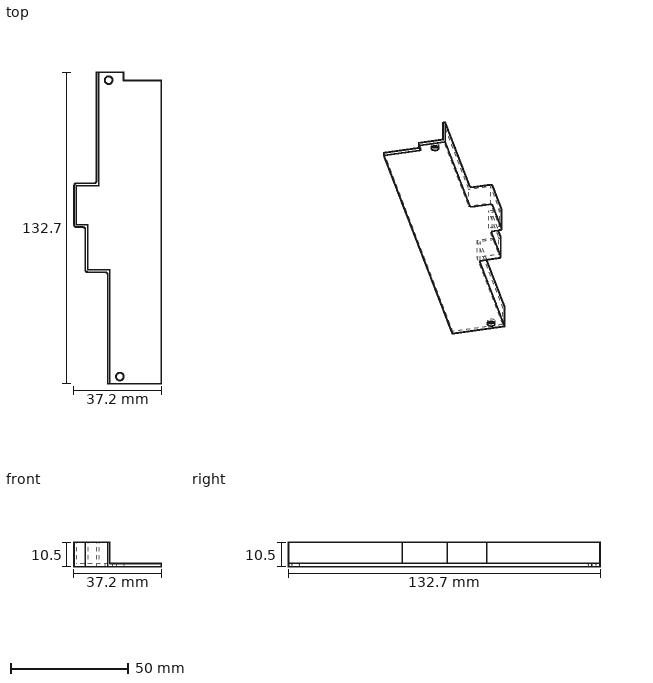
import cadquery as cq

LENGTH_X = 37.19
LENGTH_Y = 132.66
HEIGHT = 10.5

FLOOR_THICKNESS = 1.5
WALL_THICKNESS = 1.0
CORNER_RADIUS = 1.0

STEP_X = 4.77
TAB_X = 0.0
MIDDLE_X = TAB_X + STEP_X
REAR_X = TAB_X + 2 * STEP_X
FRONT_X = TAB_X + 3 * STEP_X
FRONT_STEP_Y = 47.5
MIDDLE_STEP_Y = 66.66
REAR_STEP_Y = 85.4

NOTCH_X = 21.1
NOTCH_DEPTH = 3.45

HOLE_DIAMETER = 3.2
HOLE_FROM_EDGE = 5.2
HOLE_FROM_FRONT_END = 3.1
HOLE_FROM_REAR_END = 3.4


def stepped_outline(inset):
    """Outline of the part with its stepped left edge moved inward by inset."""
    return (
        cq.Workplane("XY")
        .moveTo(FRONT_X + inset, 0)
        .lineTo(LENGTH_X, 0)
        .lineTo(LENGTH_X, LENGTH_Y - NOTCH_DEPTH)
        .lineTo(NOTCH_X, LENGTH_Y - NOTCH_DEPTH)
        .lineTo(NOTCH_X, LENGTH_Y)
        .lineTo(REAR_X + inset, LENGTH_Y)
        .lineTo(REAR_X + inset, REAR_STEP_Y - inset)
        .lineTo(TAB_X + inset, REAR_STEP_Y - inset)
        .lineTo(TAB_X + inset, MIDDLE_STEP_Y + inset)
        .lineTo(MIDDLE_X + inset, MIDDLE_STEP_Y + inset)
        .lineTo(MIDDLE_X + inset, FRONT_STEP_Y + inset)
        .lineTo(FRONT_X + inset, FRONT_STEP_Y + inset)
        .close()
    )


def outer_block():
    """Full-height block whose step corners are rounded on the outside."""
    step_corners = cq.selectors.BoxSelector(
        (TAB_X - CORNER_RADIUS, FRONT_STEP_Y - CORNER_RADIUS, 0),
        (FRONT_X + CORNER_RADIUS, REAR_STEP_Y + CORNER_RADIUS, HEIGHT),
    )
    block = stepped_outline(0).extrude(HEIGHT)
    return block.edges("|Z").edges(step_corners).fillet(CORNER_RADIUS)


def space_above_floor():
    """Everything inside the wall and above the floor; its corners are sharp."""
    return (
        stepped_outline(WALL_THICKNESS)
        .extrude(HEIGHT - FLOOR_THICKNESS)
        .translate((0, 0, FLOOR_THICKNESS))
    )


def mounting_holes():
    """One hole near each end, beside the wall."""
    centers = [
        (FRONT_X + HOLE_FROM_EDGE, HOLE_FROM_FRONT_END),
        (REAR_X + HOLE_FROM_EDGE, LENGTH_Y - HOLE_FROM_REAR_END),
    ]
    return cq.Workplane("XY").pushPoints(centers).circle(HOLE_DIAMETER / 2).extrude(FLOOR_THICKNESS)


result = outer_block().cut(space_above_floor()).cut(mounting_holes())